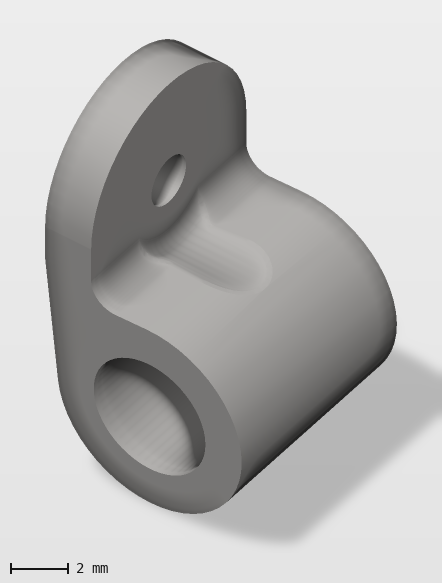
import cadquery as cq
import math

height = 14.94
width = 9.0

barrel_radius = 4.0
bore_diameter = 4.85
barrel_x = 4.54
barrel_z = barrel_radius

plate_thickness = 2.0
plate_end_radius = width / 2
plate_arc_z = height - plate_end_radius
taper_start_z = 8.96
screw_hole_diameter = 2.0

bridge_slope = 2.0
corner_radius = 1.0

clearance_radius = 2.75
clearance_round = 0.5


def barrel_point(angle):
    """Point on the barrel outline, in degrees from +X."""
    turn = math.radians(angle)
    return (
        barrel_x + barrel_radius * math.cos(turn),
        barrel_z + barrel_radius * math.sin(turn),
    )


def make_body():
    """Side profile with tangent faces from the plate to the barrel."""
    rise = taper_start_z - barrel_z
    direction = math.degrees(math.atan2(rise, -barrel_x))
    half_spread = math.degrees(math.acos(barrel_radius / math.hypot(barrel_x, rise)))
    taper_end = barrel_point(direction + half_spread)

    bridge_angle = 90 + bridge_slope
    bridge_end = barrel_point(bridge_angle)
    bridge_run = bridge_end[0] - plate_thickness
    inner_corner_z = bridge_end[1] - bridge_run * math.tan(math.radians(bridge_slope))

    body = (
        cq.Workplane("XZ")
        .moveTo(0, height)
        .lineTo(0, taper_start_z)
        .lineTo(*taper_end)
        .threePointArc(barrel_point(-45), bridge_end)
        .lineTo(plate_thickness, inner_corner_z)
        .lineTo(plate_thickness, height)
        .close()
        .extrude(width / 2, both=True)
    )
    corner = cq.selectors.NearestToPointSelector((plate_thickness, 0, inner_corner_z))
    return body.edges(corner).fillet(corner_radius)


def round_plate(body):
    """Limit the body to the plate outline with its semicircular top."""
    outline = (
        cq.Workplane("YZ")
        .moveTo(-width / 2, 0)
        .lineTo(width / 2, 0)
        .lineTo(width / 2, plate_arc_z)
        .threePointArc((0, height), (-width / 2, plate_arc_z))
        .close()
        .extrude(barrel_x + barrel_radius)
    )
    return body.intersect(outline)


def cut_clearance(body):
    """Cut the screw head clearance and round its rim."""
    length = barrel_x + barrel_radius - plate_thickness
    cutter = (
        cq.Workplane("YZ", origin=(plate_thickness, 0, plate_arc_z))
        .circle(clearance_radius)
        .extrude(length)
        .faces("<X")
        .edges()
        .fillet(clearance_round)
    )
    body = body.cut(cutter)
    groove_bottom = plate_arc_z - clearance_radius
    groove_height = groove_bottom - barrel_z
    rim_tip_x = barrel_x + math.sqrt(barrel_radius**2 - groove_height**2)
    rim = cq.selectors.BoxSelector(
        (barrel_x - corner_radius, -clearance_radius, groove_bottom - clearance_round),
        (rim_tip_x + clearance_round, clearance_radius, plate_arc_z),
        boundingbox=True,
    )
    return body.edges(rim).fillet(clearance_round)


def cut_holes(body):
    """Cut the barrel bore and the screw hole."""
    bore = (
        cq.Workplane("XZ", origin=(barrel_x, 0, barrel_z))
        .circle(bore_diameter / 2)
        .extrude(width / 2, both=True)
    )
    screw_hole = (
        cq.Workplane("YZ", origin=(0, 0, plate_arc_z))
        .circle(screw_hole_diameter / 2)
        .extrude(plate_thickness)
    )
    return body.cut(bore).cut(screw_hole)


result = cut_holes(cut_clearance(round_plate(make_body())))